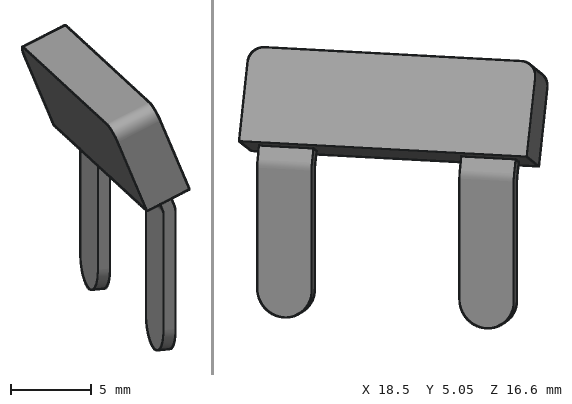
import cadquery as cq
import math

housing_width = 18.5
housing_height = 6.0
housing_thickness = 3.0
housing_corner_radius = 1.0
tilt_angle = 22.3

strip_thickness = 0.8
leg_width = 3.5
leg_pitch = 13.0
leg_length = 9.32
bend_inner_radius = 0.5
exposed_neck = 0.9
embedded_depth = 5.0
bridge_height = leg_width

tip_radius = leg_width / 2
half_strip = strip_thickness / 2
bend_outer_radius = bend_inner_radius + strip_thickness
bend_mid_radius = bend_inner_radius + half_strip
link_width = leg_pitch + leg_width
sin_tilt = math.sin(math.radians(tilt_angle))
cos_tilt = math.cos(math.radians(tilt_angle))

bend_axis_y = -bend_mid_radius


def bend_point(radius, angle):
    """Point (Y, Z) on the bend at a radius and at an angle in degrees above the horizontal."""
    turn = math.radians(angle)
    return bend_axis_y + radius * math.cos(turn), radius * math.sin(turn)


bend_end_y, bend_end_z = bend_point(bend_mid_radius, tilt_angle)
tilted_plane = cq.Plane(
    origin=(0, bend_end_y, bend_end_z),
    xDir=(1, 0, 0),
    normal=(0, -cos_tilt, -sin_tilt),
)


def tilted_block(center_x, width, bottom, height, thickness):
    """Block centred on the leaning mid-plane, starting at a distance above the bend."""
    return (
        cq.Workplane(tilted_plane)
        .center(center_x, bottom + height / 2)
        .rect(width, height)
        .extrude(thickness / 2, both=True)
    )


def straight_leg(center_x):
    """Vertical leg with a full-round lower tip."""
    left = center_x - leg_width / 2
    right = center_x + leg_width / 2
    tip_start = tip_radius - leg_length
    return (
        cq.Workplane("XZ")
        .moveTo(left, 0)
        .lineTo(left, tip_start)
        .threePointArc((center_x, -leg_length), (right, tip_start))
        .lineTo(right, 0)
        .close()
        .extrude(half_strip, both=True)
    )


def leg_bend(center_x):
    """Curved stretch between the vertical leg and the leaning neck."""
    return (
        cq.Workplane("YZ", origin=(center_x, 0, 0))
        .moveTo(*bend_point(bend_outer_radius, 0))
        .threePointArc(
            bend_point(bend_outer_radius, tilt_angle / 2),
            bend_point(bend_outer_radius, tilt_angle),
        )
        .lineTo(*bend_point(bend_inner_radius, tilt_angle))
        .threePointArc(
            bend_point(bend_inner_radius, tilt_angle / 2),
            bend_point(bend_inner_radius, 0),
        )
        .close()
        .extrude(leg_width / 2, both=True)
    )


def make_link():
    """U-shaped link: a bridge and two bent legs in one piece."""
    neck_length = exposed_neck + embedded_depth
    bridge_bottom = neck_length - bridge_height
    link = tilted_block(0, link_width, bridge_bottom, bridge_height, strip_thickness)
    for center_x in (-leg_pitch / 2, leg_pitch / 2):
        link = link.union(tilted_block(center_x, leg_width, 0, neck_length, strip_thickness))
        link = link.union(leg_bend(center_x))
        link = link.union(straight_leg(center_x))
    return link


def make_housing(embedded_link):
    """Block with two rounded upper corners and a recess that fits the link."""
    block = tilted_block(0, housing_width, exposed_neck, housing_height, housing_thickness)
    thickness_edges = cq.selectors.ParallelDirSelector(tilted_plane.zDir)
    block = block.edges(thickness_edges).edges(">Z").fillet(housing_corner_radius)
    return block.cut(embedded_link)


link = make_link()
housing = make_housing(link)

result = cq.Compound.makeCompound([housing.solids().val(), link.solids().val()])